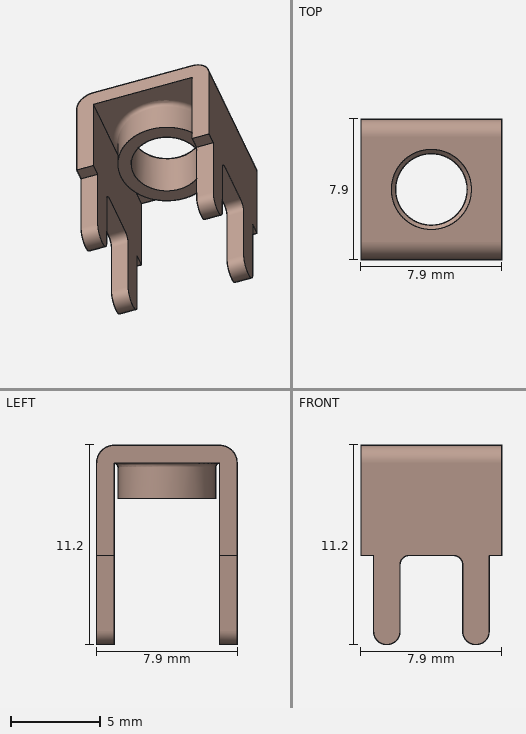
import cadquery as cq

length = 7.9
width = 7.9
height = 11.2
sheet = 1.0
bend_radius = 1.0

leg_length = 5.0
leg_width = 1.5
leg_pitch = 5.0
leg_tip_radius = leg_width / 2
notch_radius = 0.5

hole_diameter = 4.0
hole_mouth_diameter = 4.5
collar_diameter = 5.5
collar_drop = 2.0
collar_fillet = 0.25

shoulder_z = leg_length
underside_z = height - sheet
collar_bottom_z = underside_z - collar_drop


def make_channel():
    """Inverted U of sheet metal, ending at the shoulders above the legs."""
    wall_height = height - shoulder_z
    outer = (
        cq.Workplane("XY", origin=(0, 0, shoulder_z))
        .box(length, width, wall_height, centered=(True, True, False))
        .edges("|X and >Z")
        .fillet(bend_radius)
    )
    inner = cq.Workplane("XY", origin=(0, 0, shoulder_z)).box(
        length, width - 2 * sheet, wall_height - sheet, centered=(True, True, False)
    )
    return outer.cut(inner)


def make_leg_pair():
    """Two round-tipped legs spanning the full width, with filleted roots facing each other."""
    inner_x = (leg_pitch - leg_width) / 2
    outer_x = inner_x + leg_width
    root_x = inner_x - notch_radius
    leg = (
        cq.Workplane("XZ", origin=(0, width / 2, 0))
        .moveTo(outer_x, shoulder_z)
        .lineTo(outer_x, leg_tip_radius)
        .threePointArc((leg_pitch / 2, 0), (inner_x, leg_tip_radius))
        .lineTo(inner_x, shoulder_z - notch_radius)
        .radiusArc((root_x, shoulder_z), -notch_radius)
        .close()
        .extrude(width)
    )
    return leg.union(leg.mirror("YZ"))


def make_legs():
    """Leg pairs under both walls, with the space between the walls left open."""
    gap = cq.Workplane("XY").box(
        length, width - 2 * sheet, shoulder_z, centered=(True, True, False)
    )
    return make_leg_pair().cut(gap)


def make_collar():
    """Round collar below the plate, flaring out with a fillet at the underside."""
    radius = collar_diameter / 2
    return (
        cq.Workplane("XZ")
        .moveTo(0, collar_bottom_z)
        .lineTo(radius, collar_bottom_z)
        .lineTo(radius, underside_z - collar_fillet)
        .radiusArc((radius + collar_fillet, underside_z), collar_fillet)
        .lineTo(0, underside_z)
        .close()
        .revolve(360, (0, 0, 0), (0, 1, 0))
    )


def make_bore():
    """Through bore with a 45 degree chamfer at the top face."""
    radius = hole_diameter / 2
    mouth_radius = hole_mouth_diameter / 2
    chamfer = mouth_radius - radius
    return (
        cq.Workplane("XZ")
        .moveTo(0, collar_bottom_z)
        .lineTo(radius, collar_bottom_z)
        .lineTo(radius, height - chamfer)
        .lineTo(mouth_radius, height)
        .lineTo(0, height)
        .close()
        .revolve(360, (0, 0, 0), (0, 1, 0))
    )


result = make_channel().union(make_legs()).union(make_collar()).cut(make_bore())